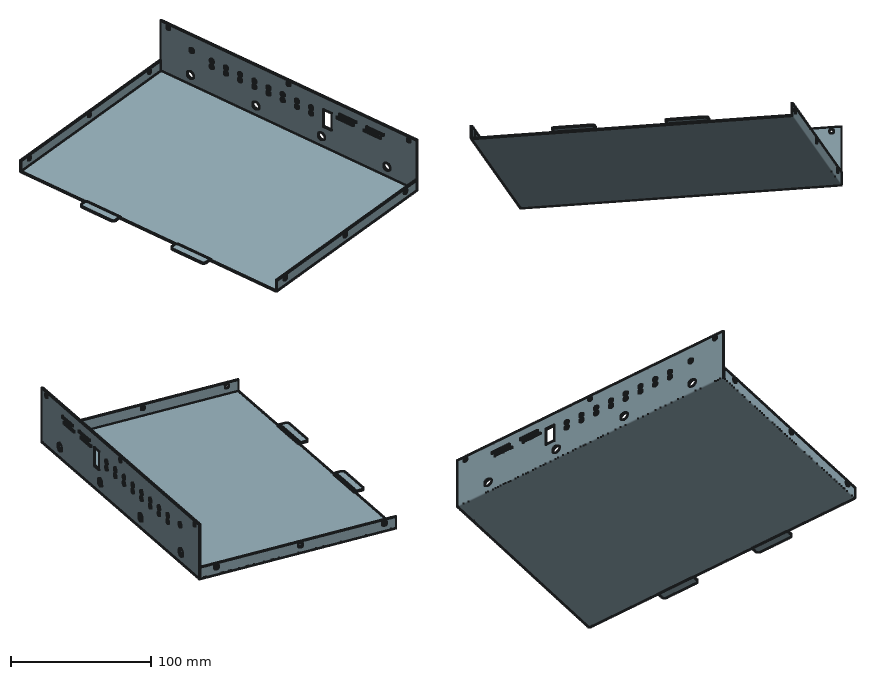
import cadquery as cq

width = 235.0
overall_depth = 167.0
height = 44.5
sheet = 1.0
tab_reach = 7.5
depth = overall_depth - tab_reach
half_width = width / 2
flange_height = 9.9
bend_radius = 1.2
panel_inset = 0.35

tab_width = 31.0
tab_spacing = 82.7
tab_corner = 2.4
tab_rise = sheet
ramp_length = 1.6

panel_screw_diameter = 3.3
panel_screw_z = 41.4
panel_screw_pitch = 110.0
flange_screw_diameter = 3.0
countersink_diameter = 4.0
flange_screw_z = 7.0
flange_screw_pitch = 68.2
flange_screw_middle_y = 77.5

led_diameter = 3.5
led_columns = 8
led_span = 91.0
first_led_x = -70.3
led_middle_z = 27.5
led_row_spacing = 5.0
single_led_diameter = 4.0
single_led_x = -88.5
single_led_z = 31.0

jack_diameter = 6.3
jack_count = 4
jack_pitch = 60.0
first_jack_x = -89.8
jack_z = 9.2

window_width = 7.5
window_height = 15.0
window_x = 35.5
window_z = 25.8

slot_length = 15.5
slot_height = 1.2
upper_slot_x = 54.0
upper_slot_z = 35.5
lower_slot_z = 31.7
lower_slot_shift = 2.4
slot_pair_pitch = 25.0


def block(x_min, x_max, y_min, y_max, z_min, z_max):
    """Box between two opposite corners."""
    box = cq.Workplane("XY").box(x_max - x_min, y_max - y_min, z_max - z_min, centered=False)
    return box.translate((x_min, y_min, z_min))


def folded_sheet():
    """Floor, back panel and side flanges, with rounded outer bends and a slightly narrower panel."""
    envelope = block(-half_width, half_width, 0, depth, 0, height)
    envelope = envelope.edges("<Z and (<X or >X or >Y)").fillet(bend_radius)
    inner_width = half_width - sheet
    panel_front = depth - sheet
    hollow = block(-inner_width, inner_width, 0, panel_front, sheet, height)
    above_flanges = block(-half_width, half_width, 0, panel_front, flange_height, height)
    tray = envelope.cut(hollow).cut(above_flanges)
    panel_half_width = half_width - panel_inset
    tray = tray.cut(block(-half_width, -panel_half_width, panel_front, depth, 0, height))
    return tray.cut(block(panel_half_width, half_width, panel_front, depth, 0, height))


def front_tab(middle_x):
    """Tab reaching forward from the floor's front edge, raised by a sloping joggle."""
    ramp_back = ramp_length / 2
    ramp_front = -ramp_length / 2
    tab_top = sheet + tab_rise
    profile = [
        (ramp_back, 0),
        (ramp_back, sheet),
        (ramp_front, tab_top),
        (-tab_reach, tab_top),
        (-tab_reach, tab_rise),
        (ramp_front, tab_rise),
    ]
    tab = cq.Workplane("YZ").polyline(profile).close().extrude(tab_width / 2, both=True)
    return tab.edges("|Z and <Y").fillet(tab_corner).translate((middle_x, 0, 0))


def flange_screw(side, y):
    """Cutter for one hole through a side flange, countersunk from outside."""
    cone = cq.Solid.makeCone(
        countersink_diameter / 2,
        flange_screw_diameter / 2,
        sheet,
        cq.Vector(side * half_width, y, flange_screw_z),
        cq.Vector(-side, 0, 0),
    )
    return cq.Workplane(cone)


def panel_openings(places):
    """Workplane on the back face (X along the panel, Y up) with the given places marked."""
    return cq.Workplane("XZ", origin=(0, depth, 0)).pushPoints(places)


def panel_holes(places, diameter):
    """Round cutters through the back panel."""
    return panel_openings(places).circle(diameter / 2).extrude(sheet)


def panel_windows(places, opening_width, opening_height):
    """Rectangular cutters through the back panel."""
    return panel_openings(places).rect(opening_width, opening_height).extrude(sheet)


tray = folded_sheet()
for side in (-1, 1):
    tray = tray.union(front_tab(side * tab_spacing / 2))
    for step in (-1, 0, 1):
        tray = tray.cut(flange_screw(side, flange_screw_middle_y + step * flange_screw_pitch))

screw_places = [(step * panel_screw_pitch, panel_screw_z) for step in (-1, 0, 1)]
jack_places = [(first_jack_x + index * jack_pitch, jack_z) for index in range(jack_count)]

led_pitch = led_span / (led_columns - 1)
led_places = []
for column in range(led_columns):
    column_x = first_led_x + column * led_pitch
    led_places.append((column_x, led_middle_z - led_row_spacing / 2))
    led_places.append((column_x, led_middle_z + led_row_spacing / 2))

slot_places = []
for pair_x in (upper_slot_x, upper_slot_x + slot_pair_pitch):
    slot_places.append((pair_x, upper_slot_z))
    slot_places.append((pair_x - lower_slot_shift, lower_slot_z))

tray = tray.cut(panel_holes(screw_places, panel_screw_diameter))
tray = tray.cut(panel_holes(led_places, led_diameter))
tray = tray.cut(panel_holes([(single_led_x, single_led_z)], single_led_diameter))
tray = tray.cut(panel_holes(jack_places, jack_diameter))
tray = tray.cut(panel_windows([(window_x, window_z)], window_width, window_height))
result = tray.cut(panel_windows(slot_places, slot_length, slot_height))